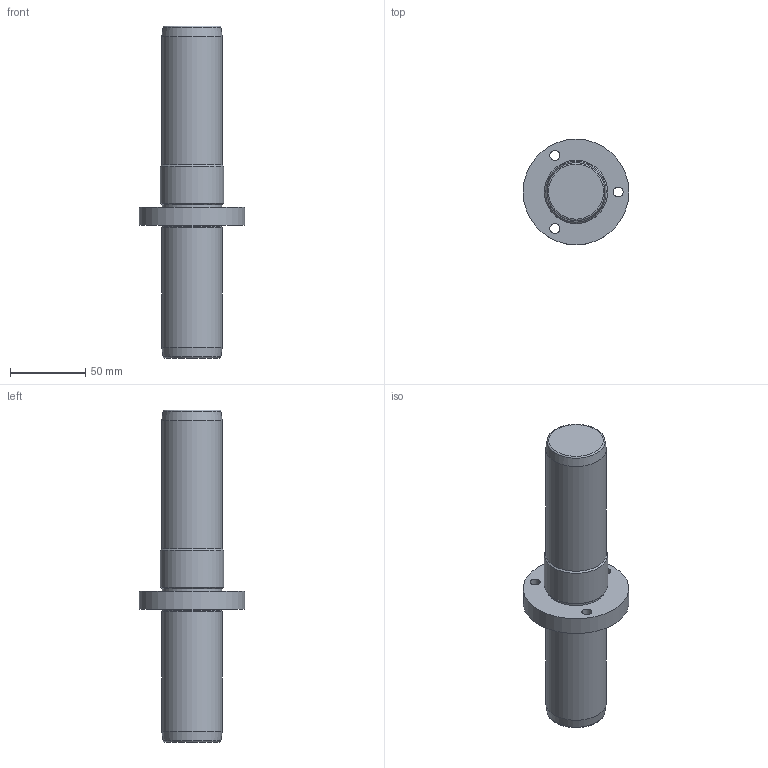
import cadquery as cq

length = 220.0
shaft_radius = 20.0

lead_in_length = 7.0
end_radius = 19.1
tip_fillet = 1.0

flange_radius = 35.0
flange_bottom = 88.0
flange_top = 100.0

collar_radius = 21.0
collar_top = 128.0
collar_top_chamfer = collar_radius - shaft_radius
collar_bottom_chamfer = 1.0

upper_groove_radius = 19.8
lower_groove_radius = 19.5
upper_groove_width = 1.5
lower_groove_width = 1.0
lower_groove_bevel = shaft_radius - lower_groove_radius

hole_count = 3
hole_diameter = 6.6
hole_circle_radius = 28.0


def make_turned_body():
    """Revolve the half profile, drawn as (radius, height), about Z."""
    collar_bottom = flange_top + upper_groove_width
    lower_groove_bottom = flange_bottom - lower_groove_width
    profile = (
        cq.Workplane("XZ")
        .lineTo(end_radius, 0)
        .lineTo(shaft_radius, lead_in_length)
        .lineTo(shaft_radius, lower_groove_bottom - lower_groove_bevel)
        .lineTo(lower_groove_radius, lower_groove_bottom)
        .lineTo(lower_groove_radius, flange_bottom)
        .lineTo(flange_radius, flange_bottom)
        .lineTo(flange_radius, flange_top)
        .lineTo(upper_groove_radius, flange_top)
        .lineTo(upper_groove_radius, collar_bottom)
        .lineTo(collar_radius - collar_bottom_chamfer, collar_bottom)
        .lineTo(collar_radius, collar_bottom + collar_bottom_chamfer)
        .lineTo(collar_radius, collar_top - collar_top_chamfer)
        .lineTo(shaft_radius, collar_top)
        .lineTo(shaft_radius, length - lead_in_length)
        .lineTo(end_radius, length)
        .lineTo(0, length)
        .close()
    )
    body = profile.revolve(360, (0, 0), (0, 1))
    return body.faces("<Z or >Z").edges().fillet(tip_fillet)


def make_flange_holes():
    """Through holes evenly spaced on the bolt circle, the first on +X."""
    return (
        cq.Workplane("XY", origin=(0, 0, flange_bottom))
        .polarArray(hole_circle_radius, 0, 360, hole_count)
        .circle(hole_diameter / 2)
        .extrude(flange_top - flange_bottom)
    )


result = make_turned_body().cut(make_flange_holes())